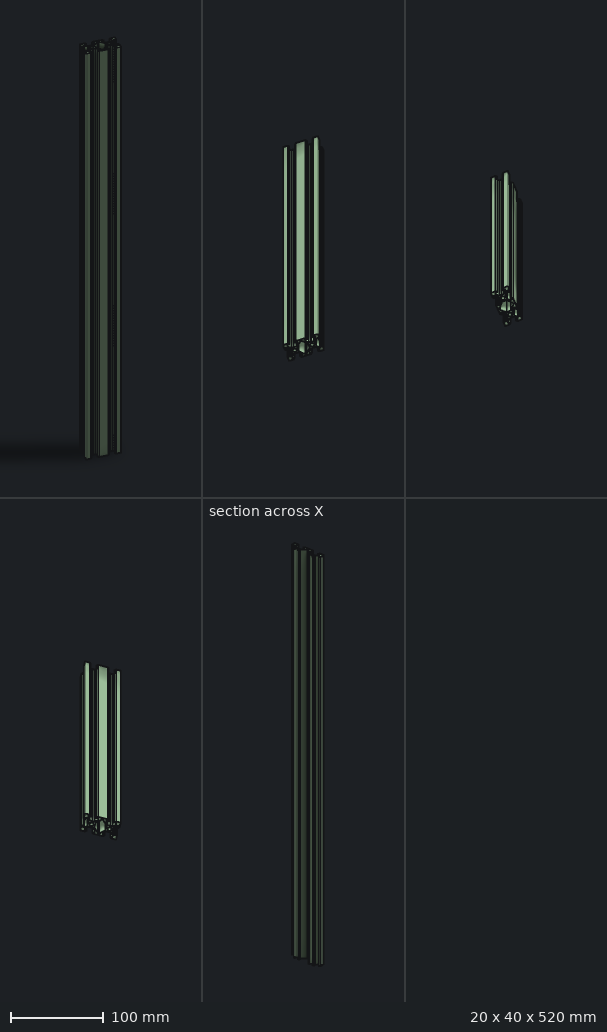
import cadquery as cq
import math

LENGTH = 520.0
DEPTH = 40.0
WIDTH = DEPTH / 2
HALF_WIDTH = WIDTH / 2
CELL_Y = WIDTH / 2
CORNER_RADIUS = 0.5

CORE_HALF = 3.8
HOLE_DIAMETER = 4.2

THROAT_WIDTH = 6.0
MOUTH_DEPTH = 1.5
MOUTH_WIDTH = THROAT_WIDTH + 2 * MOUTH_DEPTH
CHAMBER_WIDTH = 11.0
LIP_THICKNESS = 1.8

WEB_THICKNESS = 1.4
WEB_OFFSET = WEB_THICKNESS / math.sqrt(2)

GROOVE_WIDTH = 0.5
GROOVE_DEPTH = GROOVE_WIDTH / 2

HOLLOW_END_WIDTH = 5.0
WALL_THICKNESS = 2.0


def symmetric_prism(half_outline):
    """Mirror an open (x, y) outline that starts and ends on x = 0, and extrude it full length."""
    return cq.Workplane("XY").polyline(half_outline).mirrorY().extrude(LENGTH)


def slot_cutter():
    """V-slot with its mouth facing +Y and the cell centre at the origin."""
    mouth = MOUTH_WIDTH / 2
    throat = THROAT_WIDTH / 2
    chamber = CHAMBER_WIDTH / 2
    lip_inside = HALF_WIDTH - LIP_THICKNESS
    return symmetric_prism([
        (0, CORE_HALF - GROOVE_DEPTH),
        (GROOVE_WIDTH / 2, CORE_HALF),
        (CORE_HALF - WEB_OFFSET, CORE_HALF),
        (chamber, chamber + WEB_OFFSET),
        (chamber, lip_inside),
        (throat, lip_inside),
        (throat, HALF_WIDTH - MOUTH_DEPTH),
        (mouth, HALF_WIDTH),
        (0, HALF_WIDTH),
    ])


def hollow_cutter():
    """Eight-sided cavity with flat ends, flat side walls and 45 degree flanks."""
    end = CELL_Y - CORE_HALF
    end_half = HOLLOW_END_WIDTH / 2
    wall = HALF_WIDTH - WALL_THICKNESS
    wall_end = end - (wall - end_half)
    return symmetric_prism([
        (0, end),
        (end_half, end),
        (wall, wall_end),
        (wall, -wall_end),
        (end_half, -end),
        (0, -end),
    ])


result = cq.Workplane("XY").box(WIDTH, DEPTH, LENGTH, centered=(True, True, False))
result = result.edges("|Z").fillet(CORNER_RADIUS)

result = result.cut(hollow_cutter())

for cell_y, end_angle in ((CELL_Y, 0), (-CELL_Y, 180)):
    hole = cq.Workplane("XY").center(0, cell_y).circle(HOLE_DIAMETER / 2).extrude(LENGTH)
    result = result.cut(hole)
    for angle in (end_angle, 90, 270):
        slot = slot_cutter().rotate((0, 0, 0), (0, 0, 1), angle)
        result = result.cut(slot.translate((0, cell_y, 0)))